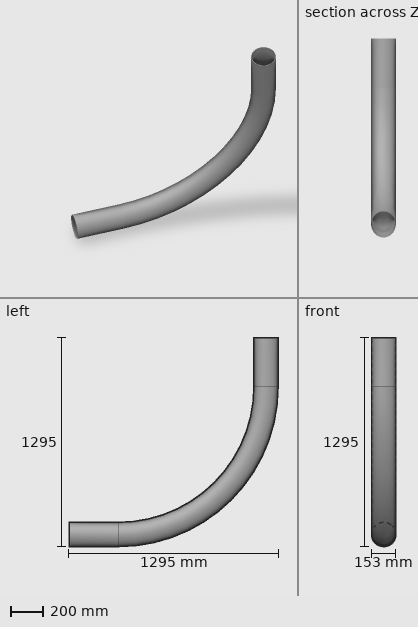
import cadquery as cq

overall_size = 1295.0
outer_diameter = 153.0
inner_diameter = 148.0
leg_length = 305.0

bend_radius = overall_size - leg_length - outer_diameter / 2
bend_angle = 90


def pipe_section(plane):
    """Annular pipe profile on the given plane."""
    return cq.Workplane(plane).circle(outer_diameter / 2).circle(inner_diameter / 2)


upright_end = cq.Plane(origin=(0, -bend_radius, 0), xDir=(1, 0, 0), normal=(0, 0, 1))
level_end = cq.Plane(origin=(0, 0, -bend_radius), xDir=(1, 0, 0), normal=(0, 1, 0))

upright_leg = pipe_section(upright_end).extrude(leg_length)
level_leg = pipe_section(level_end).extrude(leg_length)

bend = pipe_section(upright_end).revolve(bend_angle, (0, bend_radius, 0), (1, bend_radius, 0))

result = bend.union(upright_leg).union(level_leg)